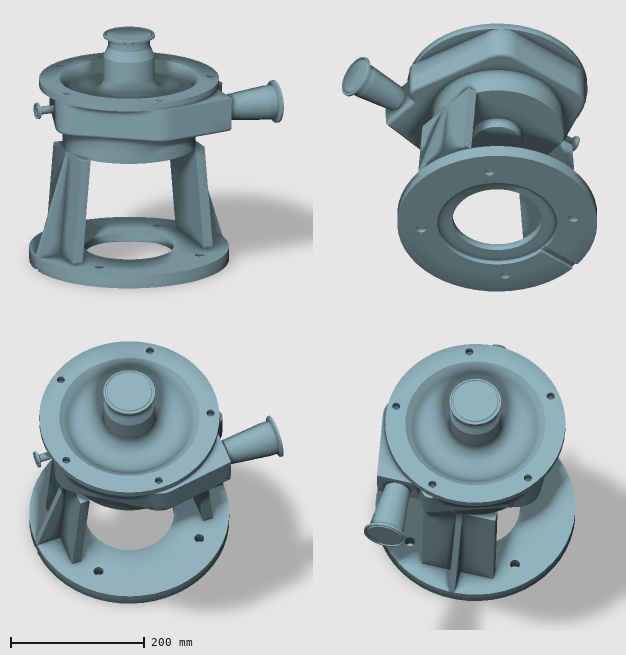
import cadquery as cq
import math

base_thickness = 20.0
leg_top = 180.0
collar_step = 200.0
casing_bottom = 222.0
casing_top = 273.2
cover_top = 284.0
inlet_shoulder = 319.8
inlet_neck = 335.0
inlet_top = 353.0
port_axis_height = 250.0

base_radius = 150.0
base_bore_radius = 67.0
base_hole_radius = 7.5
base_hole_circle = 114.7
base_hole_count = 4
base_hole_start_angle = 45
notch_width = 12.0
notch_height = 5.0
base_recess_radius = 90.0
base_recess_depth = 8.0

leg_width = 110.0
leg_thickness = 15.0
leg_slope_run = 13.5
rib_thickness = 9.2

collar_radius = 100.0
upper_collar_radius = 99.5
stub_radius = 38.0
stub_bottom = 162.7

side_count = 5
side_angle = 360 / side_count
flat_distance = 115.8
casing_draft = 0.6
corner_radius = 36.0
small_corner_radius = 12.5
bottom_edge_radius = 5.0
outlet_wall_y = 115.8
outlet_wall_end_x = 123.5
outlet_side_tilt = 9.0

cover_radius = 135.2
cover_hole_radius = 6.0
cover_hole_circle = 122.0
recess_radius = 105.2
recess_wall_width = 12.0
recess_wall_drop = 11.3
recess_floor_radius = 83.3
recess_wall_foot_radius = recess_radius - recess_wall_width
recess_wall_slope = math.atan(recess_wall_drop / recess_wall_width)
recess_arc_drop = (recess_wall_foot_radius - recess_floor_radius) * math.tan(recess_wall_slope / 2)
recess_floor = cover_top - recess_wall_drop - recess_arc_drop

inlet_radius = 38.5
inlet_neck_radius = 31.8
inlet_root_fillet = 15.2

outlet_x = 91.0
outlet_end_y = 200.5
outlet_radius = 25.8
outlet_small_radius = 19.0
outlet_neck_radius = 15.2
outlet_neck_length = 4.0
outlet_straight_start_y = 182.5

drain_end_y = 150.0
drain_radius = 6.0
drain_bore_radius = 4.5
drain_bore_depth = 28.2

ferrule_rim = 3.2
ferrule_back = 2.5
inlet_ferrule_radius = 39.0
outlet_ferrule_radius = 32.0
drain_ferrule_radius = 12.5
ferrule_groove_radius = 1.8
ferrule_groove_inset = 4.0

overlap = 3.5


def disc(radius, bottom, top):
    """Solid cylinder about Z between two heights."""
    return cq.Workplane("XY").workplane(offset=bottom).circle(radius).extrude(top - bottom)


def pipe_with_ferrule(wall_points, end, ferrule_radius):
    """Turned pipe about Z: wall points (radius, height) from the root up, then a clamp ferrule."""
    first_height = wall_points[0][1]
    pipe_radius = wall_points[-1][0]
    profile = [(0, first_height)] + wall_points + [
        (pipe_radius, end - ferrule_rim - ferrule_back),
        (ferrule_radius, end - ferrule_rim),
        (ferrule_radius, end),
        (0, end),
    ]
    pipe = cq.Workplane("XZ").polyline(profile).close().revolve(360, (0, 0), (0, 1))
    groove_circle = ferrule_radius - ferrule_groove_inset
    groove = (
        cq.Workplane("XZ")
        .center(groove_circle, end)
        .circle(ferrule_groove_radius)
        .revolve(360, (-groove_circle, 0), (-groove_circle, 1))
    )
    return pipe.cut(groove)


def make_base():
    """Base ring with a recess in its underside, drained by a notch on the -Y side."""
    base = disc(base_radius, 0, base_thickness)
    bore = disc(base_bore_radius, 0, base_thickness)
    recess = disc(base_recess_radius, 0, base_recess_depth)
    holes = (
        cq.Workplane("XY")
        .polarArray(base_hole_circle, base_hole_start_angle, 360, base_hole_count)
        .circle(base_hole_radius)
        .extrude(base_thickness)
    )
    notch = (
        cq.Workplane("XY")
        .box(notch_width, base_radius, notch_height, centered=(True, False, False))
        .translate((0, -base_radius, 0))
    )
    return base.cut(bore).cut(recess).cut(holes).cut(notch)


def make_leg():
    """Leg on the +Y side, drawn as (Y, Z) profiles."""
    top_outer = collar_radius
    bottom_outer = collar_radius + leg_slope_run
    plate = (
        cq.Workplane("YZ")
        .polyline([
            (top_outer - leg_thickness, leg_top),
            (top_outer, leg_top),
            (bottom_outer, base_thickness),
            (bottom_outer - leg_thickness, base_thickness),
        ])
        .close()
        .extrude(leg_width / 2, both=True)
    )
    rib = (
        cq.Workplane("YZ")
        .polyline([
            (top_outer, leg_top),
            (base_radius, base_thickness),
            (bottom_outer - leg_thickness / 2, base_thickness),
            (top_outer - leg_thickness / 2, leg_top),
        ])
        .close()
        .extrude(rib_thickness / 2, both=True)
    )
    rib = rib.intersect(disc(base_radius, 0, leg_top))
    return plate.union(rib)


def pentagon_corner(angle):
    """Sharp corner of the regular pentagon at a polar angle in degrees."""
    reach = flat_distance / math.cos(math.radians(side_angle / 2))
    return (reach * math.cos(math.radians(angle)), reach * math.sin(math.radians(angle)))


def make_casing():
    flat_normal = math.radians(side_angle / 2)
    wall_start = (
        (flat_distance - outlet_wall_y * math.sin(flat_normal)) / math.cos(flat_normal),
        outlet_wall_y,
    )
    wall_end = (outlet_wall_end_x, outlet_wall_y)

    tilt = math.tan(math.radians(outlet_side_tilt))
    cos_n = math.cos(flat_normal)
    sin_n = math.sin(flat_normal)
    side_x_at_axis = outlet_wall_end_x + tilt * outlet_wall_y
    side_end_y = (side_x_at_axis * cos_n - flat_distance) / (sin_n + tilt * cos_n)
    side_end = (side_x_at_axis - tilt * side_end_y, side_end_y)

    small_corner = pentagon_corner(side_angle)
    large_corners = [pentagon_corner(side_angle * step) for step in range(2, side_count)]

    casing = (
        cq.Workplane("XY")
        .workplane(offset=casing_top)
        .polyline([wall_end, wall_start, small_corner] + large_corners + [side_end])
        .close()
        .extrude(casing_bottom - casing_top, taper=casing_draft)
    )
    middle_height = (casing_bottom + casing_top) / 2
    rounded = [(corner, corner_radius) for corner in large_corners + [side_end]]
    rounded.append((small_corner, small_corner_radius))
    for (x, y), radius in rounded:
        upright = cq.NearestToPointSelector((x, y, middle_height))
        casing = casing.edges(upright).fillet(radius)
    return casing.faces("<Z").edges().fillet(bottom_edge_radius)


def make_cover():
    cover = disc(cover_radius, casing_top, cover_top)
    holes = (
        cq.Workplane("XY")
        .workplane(offset=casing_top)
        .polarArray(cover_hole_circle, 0, 360, side_count)
        .circle(cover_hole_radius)
        .extrude(cover_top - casing_top)
    )
    return cover.cut(holes)


def make_recess():
    """Dished recess around the inlet: sloping wall, rounded foot, flat floor, rounded inlet root."""
    root_diagonal = inlet_root_fillet * math.cos(math.radians(45))
    root_centre = (inlet_radius + inlet_root_fillet, recess_floor + inlet_root_fillet)
    return (
        cq.Workplane("XZ")
        .moveTo(recess_radius, cover_top)
        .lineTo(recess_wall_foot_radius, cover_top - recess_wall_drop)
        .tangentArcPoint((recess_floor_radius, recess_floor), relative=False)
        .lineTo(root_centre[0], recess_floor)
        .threePointArc(
            (root_centre[0] - root_diagonal, root_centre[1] - root_diagonal),
            (inlet_radius, root_centre[1]),
        )
        .lineTo(inlet_radius, cover_top)
        .close()
        .revolve(360, (0, 0), (0, 1))
    )


def make_inlet():
    wall = [
        (inlet_radius, recess_floor),
        (inlet_radius, inlet_shoulder),
        (inlet_neck_radius, inlet_neck),
    ]
    return pipe_with_ferrule(wall, inlet_top, inlet_ferrule_radius)


def make_outlet():
    cone_start = outlet_wall_y + outlet_neck_length
    wall = [
        (outlet_neck_radius, outlet_wall_y - overlap),
        (outlet_neck_radius, cone_start),
        (outlet_small_radius, cone_start),
        (outlet_radius, outlet_straight_start_y),
    ]
    pipe = pipe_with_ferrule(wall, outlet_end_y, outlet_ferrule_radius)
    return pipe.rotate((0, 0, 0), (1, 0, 0), -90).translate((outlet_x, 0, port_axis_height))


def make_drain():
    pipe = pipe_with_ferrule([(drain_radius, flat_distance)], drain_end_y, drain_ferrule_radius)
    pipe = pipe.cut(disc(drain_bore_radius, drain_end_y - drain_bore_depth, drain_end_y))
    return pipe.rotate((0, 0, 0), (1, 0, 0), 90).translate((0, 0, port_axis_height))


leg = make_leg()
collar = disc(collar_radius, leg_top, collar_step)
upper_collar = disc(upper_collar_radius, collar_step, casing_bottom + overlap)
stub = disc(stub_radius, stub_bottom, leg_top)

result = make_base()
result = result.union(leg).union(leg.mirror("XZ"))
result = result.union(collar).union(upper_collar).union(stub)
result = result.union(make_casing()).union(make_cover())
result = result.cut(make_recess())
result = result.union(make_inlet()).union(make_outlet()).union(make_drain())